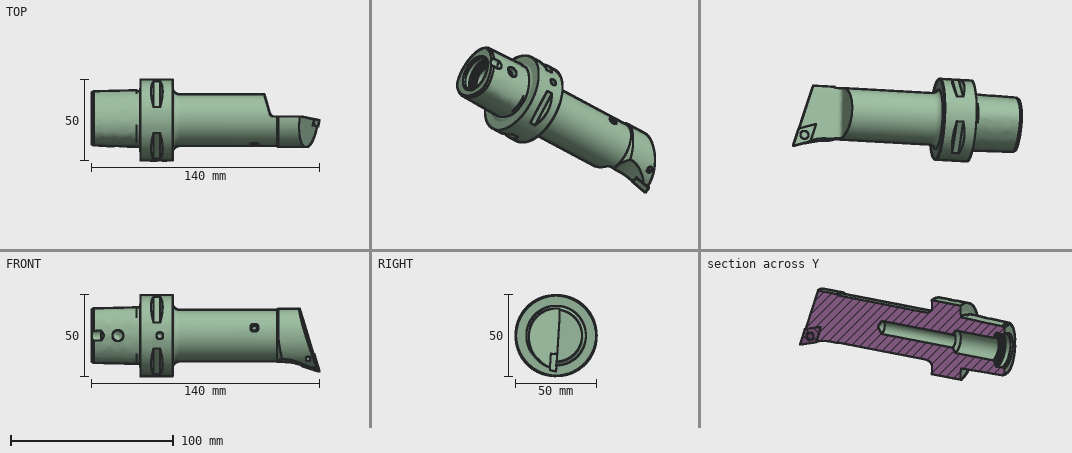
import cadquery as cq
import math

TOTAL_LENGTH = 140.0

SHANK_LENGTH = 27.6
SHANK_RADIUS = 16.8
SHANK_TAPER = 1 / 40
LOBE_HEIGHT = 1.0
SHANK_CHAMFER_LENGTH = 1.4
SHANK_CHAMFER_DEPTH = 0.8
LOBE_POINTS = 24
NECK_TURNED_RADIUS = 17.8
COLLAR_BASE_RADIUS = 19.5
COLLAR_TOP_RADIUS = 18.0
COLLAR_HEIGHT = 0.4

MOUTH_RADIUS = 11.5
MOUTH_CHAMFER_LENGTH = 1.4
ENTRY_RADIUS = 10.9
ENTRY_DEPTH = 4.9
RELIEF_RADIUS = 11.3
RELIEF_DEPTH = 5.6
THREAD_RADIUS = 10.0
THREAD_DEPTH = 6.9
BORE_LIP_RADIUS = 8.3
INNER_BORE_RADIUS = 7.4
INNER_BORE_DEPTH = 33.6
COOLANT_BORE_RADIUS = 4.2
COOLANT_BORE_DEPTH = 84.0
DRILL_POINT_ANGLE = 118.0

NOTCH_RADIUS = 3.6
NOTCH_FLOOR = 14.1
NOTCH_LENGTH = 5.6
SHANK_DIMPLE_X = 16.1
SHANK_DIMPLE_RADIUS = 3.4
SHANK_DIMPLE_FLOOR = 12.6
FLANGE_DIMPLE_X = 41.9
FLANGE_DIMPLE_RADIUS = 2.1
FLANGE_DIMPLE_FLOOR = 19.6

FLANGE_START = 30.0
FLANGE_END = 50.0
FLANGE_RADIUS = 50.0 / 2
FLANGE_CHAMFER = 0.4
SLOT_X = 40.0
SLOT_FLOOR = 22.4
SLOT_FLOOR_WIDTH = 3.9
SLOT_SIDE_SPREAD = 1.7
SLOT_COUNT = 4
SLOT_START_ANGLE = 45.0

BAR_RADIUS = 16.0
BLEND_LENGTH = 4.2
BLEND_HEIGHT = 2.4

HEAD_START = 113.8
HEAD_RADIUS = 16.7
HEAD_LEAD_SLOPE = 0.8
HEAD_SIDE_DROP = 1.4
HEAD_LOWER_RADIUS = 19.3
HEAD_BOTTOM = 16.7
HEAD_BOTTOM_BEND_RADIUS = 25.2
END_X = 133.0
END_LEAN = 0.31
HEAD_TIP_Z = -22.0
END_RELIEF = 0.13
BOTTOM_RELIEF = 0.16

CHIP_FLAT_Y = 2.2
CHIP_BACK_TOP_X = 106.3
CHIP_BACK_FOOT_X = 110.0
CHIP_CORNER_RADIUS = 2.8
RAKE_BREAK_Z = 12.6
RAKE_DROP = 0.065

INSERT_EDGE = 11.6
INSERT_ANGLE = 55.0
INSERT_LEAD_ANGLE = 17.0
INSERT_THICKNESS = 3.9
INSERT_RELIEF_ANGLE = 7.0
NOSE_RADIUS = 0.4
NOSE_CENTER_Z = -21.7
SCREW_HEAD_RADIUS = 2.5
SCREW_SHANK_RADIUS = 1.4
SCREW_HEAD_HEIGHT = 2.0
SCREW_LENGTH = 10.6

PLUG_X = 100.0
PLUG_ANGLE = 18.0
PLUG_RADIUS = 2.5
PLUG_TOP = 15.5
PLUG_LENGTH = 5.6
SOCKET_RADIUS = 1.8
SOCKET_DEPTH = 1.4

REACH = 2 * FLANGE_RADIUS


def cone_height(radius):
    """Height of a drill point of the given radius."""
    return radius / math.tan(math.radians(DRILL_POINT_ANGLE / 2))


def revolve_about_x(points):
    """Solid of revolution about X from (x, radius) points."""
    return cq.Workplane("XY").polyline(points).close().revolve(360, (0, 0, 0), (1, 0, 0))


def drilled_hole(radius, floor):
    """Drill along -Y whose cylinder ends at the distance `floor` from the axis."""
    profile = [(0, floor - cone_height(radius)), (radius, floor), (radius, REACH), (0, REACH)]
    drill = cq.Workplane("XY").polyline(profile).close().revolve(360, (0, 0, 0), (0, 1, 0))
    return drill.rotate((0, 0, 0), (0, 0, 1), 180)



def lobe_wire(x, inset=0.0):
    """Three-lobed constant-width outline at station x, with one lobe toward +Y."""
    radius = SHANK_RADIUS + SHANK_TAPER * x - inset

    def point(step):
        angle = 2 * math.pi * step / LOBE_POINTS
        support = radius + LOBE_HEIGHT * math.cos(3 * angle)
        slide = 3 * LOBE_HEIGHT * math.sin(3 * angle)
        y = support * math.cos(angle) + slide * math.sin(angle)
        z = support * math.sin(angle) - slide * math.cos(angle)
        return cq.Vector(x, y, z)

    outline = cq.Edge.makeSpline([point(step) for step in range(LOBE_POINTS)], periodic=True)
    return cq.Wire.assembleEdges([outline])


def lobed_section(start, end, start_inset=0.0):
    """Length of the tapered shank between two stations."""
    wires = [lobe_wire(start, start_inset), lobe_wire(end)]
    return cq.Workplane(cq.Solid.makeLoft(wires))


def make_shank():
    """Chamfered shank and its neck, whose lobes are turned down to a circle."""
    tip = lobed_section(0, SHANK_CHAMFER_LENGTH, SHANK_CHAMFER_DEPTH)
    shank = lobed_section(SHANK_CHAMFER_LENGTH, SHANK_LENGTH)
    turned = cq.Workplane("YZ").circle(NECK_TURNED_RADIUS).extrude(FLANGE_START)
    neck = lobed_section(SHANK_LENGTH, FLANGE_START).intersect(turned)
    return tip.union(shank).union(neck)


def coupling_bore():
    """Stepped bore from the shank end, narrowing through a drill point to the coolant bore."""
    lip_depth = BORE_LIP_RADIUS - INNER_BORE_RADIUS
    coolant_start = INNER_BORE_DEPTH + cone_height(INNER_BORE_RADIUS - COOLANT_BORE_RADIUS)
    return revolve_about_x([
        (0, 0),
        (0, MOUTH_RADIUS),
        (MOUTH_CHAMFER_LENGTH, ENTRY_RADIUS),
        (ENTRY_DEPTH, ENTRY_RADIUS),
        (ENTRY_DEPTH, RELIEF_RADIUS),
        (RELIEF_DEPTH, RELIEF_RADIUS),
        (RELIEF_DEPTH, THREAD_RADIUS),
        (THREAD_DEPTH, THREAD_RADIUS),
        (THREAD_DEPTH, BORE_LIP_RADIUS),
        (THREAD_DEPTH + lip_depth, INNER_BORE_RADIUS),
        (INNER_BORE_DEPTH, INNER_BORE_RADIUS),
        (coolant_start, COOLANT_BORE_RADIUS),
        (COOLANT_BORE_DEPTH, COOLANT_BORE_RADIUS),
        (COOLANT_BORE_DEPTH + cone_height(COOLANT_BORE_RADIUS), 0),
    ])


def orientation_notch():
    """Round channel along X in the -Y side of the shank end, closed by a 90 degree point."""
    channel = revolve_about_x([
        (0, 0),
        (0, NOTCH_RADIUS),
        (NOTCH_LENGTH, NOTCH_RADIUS),
        (NOTCH_LENGTH + NOTCH_RADIUS, 0),
    ])
    return channel.translate((0, -NOTCH_FLOOR - NOTCH_RADIUS, 0))



def make_flange_and_bar():
    """Collar, flange, concave blend and plain bar, turned in one profile."""
    bar_start = FLANGE_END + BLEND_LENGTH
    blend_radius = (BLEND_LENGTH**2 + BLEND_HEIGHT**2) / (2 * BLEND_HEIGHT)
    half_sweep = math.asin(BLEND_LENGTH / blend_radius) / 2
    blend_middle = (
        bar_start - blend_radius * math.sin(half_sweep),
        BAR_RADIUS + blend_radius * (1 - math.cos(half_sweep)),
    )
    return (
        cq.Workplane("XY")
        .moveTo(FLANGE_START - COLLAR_HEIGHT, 0)
        .lineTo(FLANGE_START - COLLAR_HEIGHT, COLLAR_TOP_RADIUS)
        .lineTo(FLANGE_START, COLLAR_BASE_RADIUS)
        .lineTo(FLANGE_START, FLANGE_RADIUS)
        .lineTo(FLANGE_END - FLANGE_CHAMFER, FLANGE_RADIUS)
        .lineTo(FLANGE_END, FLANGE_RADIUS - FLANGE_CHAMFER)
        .lineTo(FLANGE_END, BAR_RADIUS + BLEND_HEIGHT)
        .threePointArc(blend_middle, (bar_start, BAR_RADIUS))
        .lineTo(HEAD_START, BAR_RADIUS)
        .lineTo(HEAD_START, 0)
        .close()
        .revolve(360, (0, 0, 0), (1, 0, 0))
    )


def gripper_slots():
    """Flat-floored tangential slots with flared sides, spaced evenly round the flange."""
    depth = FLANGE_RADIUS - SLOT_FLOOR
    half_floor = SLOT_FLOOR_WIDTH / 2
    half_top = half_floor + SLOT_SIDE_SPREAD
    slot = (
        cq.Workplane("XZ", origin=(SLOT_X, 0, SLOT_FLOOR))
        .polyline([(-half_floor, 0), (half_floor, 0), (half_top, depth), (-half_top, depth)])
        .close()
        .extrude(FLANGE_RADIUS, both=True)
    )
    slots = cq.Workplane()
    for index in range(SLOT_COUNT):
        angle = SLOT_START_ANGLE + index * 360 / SLOT_COUNT
        slots = slots.add(slot.rotate((0, 0, 0), (1, 0, 0), angle))
    return slots.combine()



def head_section():
    """Cross-section swept along X: main radius above, larger offset radius below."""
    diagonal = math.sqrt(0.5)
    top_z = math.sqrt(HEAD_RADIUS**2 - CHIP_FLAT_Y**2)
    lower_center_y = HEAD_LOWER_RADIUS - HEAD_RADIUS
    lower_middle = (
        lower_center_y - HEAD_LOWER_RADIUS * diagonal,
        -HEAD_SIDE_DROP - HEAD_LOWER_RADIUS * diagonal,
    )
    bottom_z = -HEAD_SIDE_DROP - math.sqrt(HEAD_LOWER_RADIUS**2 - (CHIP_FLAT_Y - lower_center_y) ** 2)
    return (
        cq.Workplane("YZ", origin=(HEAD_START, 0, 0))
        .moveTo(CHIP_FLAT_Y, top_z)
        .threePointArc((-HEAD_RADIUS * diagonal, HEAD_RADIUS * diagonal), (-HEAD_RADIUS, 0))
        .lineTo(-HEAD_RADIUS, -HEAD_SIDE_DROP)
        .threePointArc(lower_middle, (CHIP_FLAT_Y, bottom_z))
        .close()
        .extrude(TOTAL_LENGTH - HEAD_START)
    )


def head_side_profile():
    """Leaning end and drooping underside, swept obliquely so both faces fall away to -Y."""
    droop = math.tan(math.radians(90 - INSERT_LEAD_ANGLE - INSERT_ANGLE))
    tip_x = END_X - END_LEAN * HEAD_TIP_Z
    bend_x = tip_x - (-HEAD_BOTTOM - HEAD_TIP_Z) / droop
    span = 2 * HEAD_LOWER_RADIUS
    outline = [
        (HEAD_START - span * END_RELIEF, -HEAD_BOTTOM),
        (bend_x, -HEAD_BOTTOM),
        (tip_x, HEAD_TIP_Z),
        (END_X - END_LEAN * REACH, REACH),
        (HEAD_START - span * END_RELIEF, REACH),
    ]
    flat = cq.Workplane("XZ").polyline(outline).close().extrude(1.4)
    bend = cq.selectors.NearestToPointSelector((bend_x, -0.7, -HEAD_BOTTOM))
    face = flat.edges("|Y").edges(bend).fillet(HEAD_BOTTOM_BEND_RADIUS).faces(">Y").val()
    sweep = cq.Vector(-END_RELIEF, -1, BOTTOM_RELIEF) * span
    prism = cq.Solid.extrudeLinear(face.outerWire(), [], sweep)
    return cq.Workplane(prism).translate((0, CHIP_FLAT_Y, 0))


def head_lead_in():
    """Cone that grows from the bar and trims the start of the head."""
    length = TOTAL_LENGTH - HEAD_START
    end_radius = BAR_RADIUS + HEAD_LEAD_SLOPE * length
    return revolve_about_x([
        (HEAD_START, 0),
        (HEAD_START, BAR_RADIUS),
        (TOTAL_LENGTH, end_radius),
        (TOTAL_LENGTH, 0),
    ])


def chip_space():
    """Everything beyond the flat; below the break the flat slopes gently toward the tip."""
    slope = (CHIP_BACK_FOOT_X - CHIP_BACK_TOP_X) / (BAR_RADIUS - CHIP_FLAT_Y)
    outer_y = REACH
    back_x = CHIP_BACK_FOOT_X - slope * (outer_y - CHIP_FLAT_Y)
    end_x = TOTAL_LENGTH + 1.4
    upper = (
        cq.Workplane("XY", origin=(0, 0, RAKE_BREAK_Z))
        .polyline([
            (CHIP_BACK_FOOT_X, CHIP_FLAT_Y),
            (end_x, CHIP_FLAT_Y),
            (end_x, outer_y),
            (back_x, outer_y),
        ])
        .close()
        .extrude(REACH)
    )
    corner_middle = (CHIP_BACK_FOOT_X, CHIP_FLAT_Y, RAKE_BREAK_Z + REACH / 2)
    corner = cq.selectors.NearestToPointSelector(corner_middle)
    upper = upper.edges("|Z").edges(corner).fillet(CHIP_CORNER_RADIUS)
    sweep = cq.Vector(0, -RAKE_DROP, -1) * REACH
    lower = cq.Solid.extrudeLinear(upper.faces("<Z").val().outerWire(), [], sweep)
    return upper.union(cq.Workplane(lower))


def make_head():
    return head_section().intersect(head_side_profile()).intersect(head_lead_in())



def rake_plane(x, z):
    """Plane on the sloping rake face at (x, z), pointing into the holder, local y upward."""
    y = CHIP_FLAT_Y - RAKE_DROP * (RAKE_BREAK_Z - z)
    return cq.Plane(origin=(x, y, z), xDir=(1, 0, 0), normal=(0, -1, RAKE_DROP))


def insert_direction(angle, length):
    """In-plane offset at an angle from +Z toward -X."""
    return (-length * math.sin(math.radians(angle)), length * math.cos(math.radians(angle)))


NOSE_PLANE = rake_plane(TOTAL_LENGTH - NOSE_RADIUS, NOSE_CENTER_Z)
BISECTOR_ANGLE = INSERT_LEAD_ANGLE + INSERT_ANGLE / 2
CORNER_OFFSET = NOSE_RADIUS / math.sin(math.radians(INSERT_ANGLE / 2))
HALF_DIAGONAL = INSERT_EDGE * math.cos(math.radians(INSERT_ANGLE / 2))
INSERT_CENTER = insert_direction(BISECTOR_ANGLE, HALF_DIAGONAL - CORNER_OFFSET)


def make_insert_blank():
    """Rhombic insert with relieved sides and a rounded cutting nose, before its screw hole."""
    half_width = INSERT_EDGE * math.sin(math.radians(INSERT_ANGLE / 2))
    long_half = insert_direction(BISECTOR_ANGLE, HALF_DIAGONAL)
    short_half = insert_direction(BISECTOR_ANGLE + 90, half_width)
    corners = [long_half, short_half]
    corners += [(-x, -y) for x, y in corners]
    rhombus = cq.Workplane(NOSE_PLANE).center(*INSERT_CENTER).polyline(corners).close()
    blank = rhombus.extrude(INSERT_THICKNESS, taper=INSERT_RELIEF_ANGLE)
    tip = insert_direction(BISECTOR_ANGLE, -CORNER_OFFSET)
    tip_edge_middle = NOSE_PLANE.toWorldCoords((*tip, INSERT_THICKNESS / 2))
    tip_edge = cq.selectors.NearestToPointSelector(tip_edge_middle.toTuple())
    return blank.edges(tip_edge).fillet(NOSE_RADIUS)


def make_screw(length):
    """Countersunk screw standing on the rake face and running into the holder."""
    profile = [
        (0, 0),
        (SCREW_HEAD_RADIUS, 0),
        (SCREW_SHANK_RADIUS, SCREW_HEAD_HEIGHT),
        (SCREW_SHANK_RADIUS, length),
        (0, length),
    ]
    center = NOSE_PLANE.toWorldCoords(INSERT_CENTER)
    axis_plane = cq.Plane(origin=center, xDir=(1, 0, 0), normal=NOSE_PLANE.yDir * -1)
    return (
        cq.Workplane(axis_plane)
        .polyline(profile)
        .close()
        .revolve(360, (0, 0, 0), (0, 1, 0))
    )



def place_plug(solid):
    """Turn a solid standing on +Z to the radial direction of the plug."""
    return solid.rotate((0, 0, 0), (1, 0, 0), 90 - PLUG_ANGLE).translate((PLUG_X, 0, 0))


def plug_cylinder(top):
    """Upright cylinder from the plug's inner end to the given distance from the axis."""
    bottom = PLUG_TOP - PLUG_LENGTH
    return cq.Workplane("XY", origin=(0, 0, bottom)).circle(PLUG_RADIUS).extrude(top - bottom)


def make_plug():
    """Round plug with a blind socket that ends in a drill point."""
    socket_floor = PLUG_TOP - SOCKET_DEPTH
    socket = (
        cq.Workplane("XZ")
        .polyline([
            (0, socket_floor - cone_height(SOCKET_RADIUS)),
            (SOCKET_RADIUS, socket_floor),
            (SOCKET_RADIUS, PLUG_TOP),
            (0, PLUG_TOP),
        ])
        .close()
        .revolve(360, (0, 0, 0), (0, 1, 0))
    )
    return place_plug(plug_cylinder(PLUG_TOP).cut(socket))



insert_blank = make_insert_blank()
screw = make_screw(SCREW_LENGTH)
insert = insert_blank.cut(screw)
plug = make_plug()


def make_holder():
    """Coupling, flange, bar and head in one piece, with seats for the other bodies."""
    holder = make_flange_and_bar().union(make_shank()).union(make_head()).cut(chip_space())
    holder = holder.cut(coupling_bore()).cut(orientation_notch()).cut(gripper_slots())
    shank_dimple = drilled_hole(SHANK_DIMPLE_RADIUS, SHANK_DIMPLE_FLOOR)
    flange_dimple = drilled_hole(FLANGE_DIMPLE_RADIUS, FLANGE_DIMPLE_FLOOR)
    holder = holder.cut(shank_dimple.translate((SHANK_DIMPLE_X, 0, 0)))
    holder = holder.cut(flange_dimple.translate((FLANGE_DIMPLE_X, 0, 0)))
    holder = holder.cut(insert_blank).cut(make_screw(REACH))
    return holder.cut(place_plug(plug_cylinder(REACH)))


holder = make_holder()

bodies = [holder, insert, screw, plug]
result = cq.Compound.makeCompound([body.solids().val() for body in bodies])